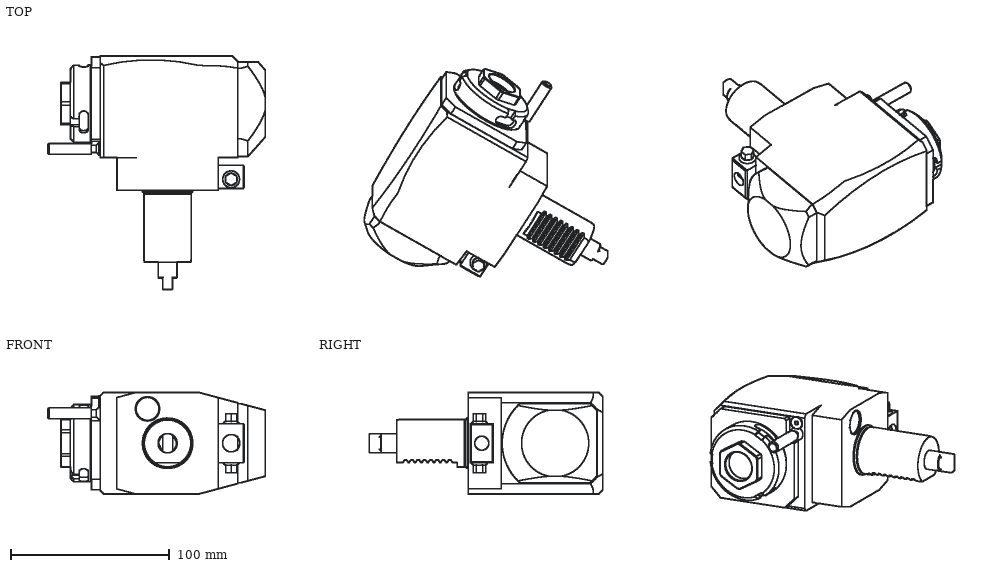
import cadquery as cq
import math


TOTAL_LENGTH = 147
HEIGHT = 64.0
HALF_HEIGHT = HEIGHT / 2
BACK_Y = 84.7
STEP_Y = 20.7
LEFT_X = -42.5
RIGHT_X = 44.2
LEFT_CHAMFER = 2.2
BACK_CHAMFER = 3.5
TAPER_X = 19.8
TAPER_ANGLE = 15
TAPER_SLOPE = math.tan(math.radians(TAPER_ANGLE))
BLOCK_HALF_LENGTH = 31.9
ROUNDING_RADIUS = 183.8
ROUNDING_X = -10.3
ROUNDING_DEPTH = 2.5
PLUG_X, PLUG_Z = -12.6, 21.6
PLUG_RADIUS = 7.6
PLUG_DEPTH = 1.2
PLUG_CHAMFER = 0.5

SHANK_RADIUS = 15.0
SHANK_LENGTH = 45.1
SHANK_CHAMFER_LENGTH = 1.9
SHANK_CHAMFER_DEPTH = 0.37
COLLAR_RADIUS = 15.9
COLLAR_RIM = 0.7
RELIEF_RADIUS = 14.8
RELIEF_START = COLLAR_RIM + COLLAR_RADIUS - RELIEF_RADIUS
RELIEF_END = 2.5
FLAT_START = 7.0
FLAT_Z = -12.2
TOOTH_COUNT = 8
TOOTH_PITCH = 4.0
FIRST_TOOTH = 11.6
TOOTH_DEPTH = 1.6
TOOTH_WIDTH = 3.5
TOOTH_FLOOR = 1.2

DRIVE_RADIUS = 6.0
DRIVE_END = 55.1
DRIVE_CHAMFER = 0.5
TANG_END = TOTAL_LENGTH - BACK_Y
TANG_WIDTH = 6.3
TANG_FILLET = 0.7

SPINDLE_Y = 54.7
PLATE_X = -47.9
PLATE_HALF = 29.4
PLATE_CHAMFER = 6.8
NOTCH_Y = 31.0
NOTCH_Z = 14.1
NOTCH_FILLET = 4.4
NOTCH_CHAMFER = 1.2
NUT_X = -61.2
NUT_BACK_X = -48.7
NUT_RADIUS = 24.4
NUT_CHAMFER = 2.2
NUT_NECK_RADIUS = 23.5
SLOT_COUNT = 3
FIRST_SLOT_ANGLE = 30
SLOT_WIDTH = 5.7
SLOT_DEPTH = 2.6
SLOT_X = -52.8
SLOT_HALF_ANGLE = 19
HEX_X = -67.3
HEX_FLATS = 26.9
HEX_TURNED_RADIUS = 15.0
HEX_CHAMFER = 0.5
BORE_RADIUS = 9.3
BORE_DEPTH = 5.0
BORE_CHAMFER = 0.5

PIN_Y, PIN_Z = 26.2, 18.8
PIN_X = -75.4
PIN_RADIUS = 3.5
PIN_CHAMFER = 0.9
PIN_NECK_RADIUS = 2.4
PIN_CONE_X = -44.8
PIN_CONE_RADIUS = 4.3
SCREW_Z = 26.0
SCREW_RADIUS = 4.0
SCREW_HEIGHT = 0.9
SCREW_HOLE_RADIUS = 1.2

CAP_RADIUS = 33.4
CAP_BACK_Y = 80.8
CAP_X = 61.5
CAP_TAPER_X = 46.0
CAP_CONE_X = 50.5
CAP_END_RADIUS = 21.2

COOLANT_X = 48.2
COOLANT_Y0, COOLANT_Y1 = 1.2, 15.9
COOLANT_HALF_HEIGHT = 12.3
COOLANT_CHAMFER = 0.7
NOZZLE_X, NOZZLE_Y = 40.0, 7.0
INLET_RADIUS = 5.5
SIDE_BORE_Y = 8.5
SIDE_BORE_RADIUS = 4.4
FLANGE_RADIUS = 5.3
FLANGE_TOP_RADIUS = 3.8
FLANGE_HEIGHT = 1.5
NOZZLE_FLATS = 6.9
NOZZLE_TOP = 18.5

OVERLAP = 1.5


def box(x0, x1, y0, y1, z0, z1):
    return cq.Workplane("XY").box(x1 - x0, y1 - y0, z1 - z0, centered=False).translate((x0, y0, z0))


def turned_on_x(points, y, z):
    """Solid of revolution about a line along X; points are (x, radius)."""
    closed = [(points[0][0], 0)] + points + [(points[-1][0], 0)]
    profile = cq.Workplane("XY").polyline(closed).close()
    return profile.revolve(360, (0, 0, 0), (1, 0, 0)).translate((0, y, z))


def turned_on_y(points):
    """Solid of revolution about the shank axis; points are (distance below the seat, radius)."""
    closed = [(0, -points[0][0])] + [(r, -d) for d, r in points] + [(0, -points[-1][0])]
    return cq.Workplane("XY").polyline(closed).close().revolve(360, (0, 0, 0), (0, 1, 0))


def taper_height(x):
    """Half height of the housing on its taper."""
    return HALF_HEIGHT - (x - TAPER_X) * TAPER_SLOPE


def mirrored_outline(upper):
    """Closed XZ outline from its upper points, mirrored about Z = 0."""
    return upper + [(x, -z) for x, z in reversed(upper)]


def along_y(outline, y0, y1):
    return cq.Workplane("XZ", origin=(0, y0, 0)).polyline(outline).close().extrude(y0 - y1)


def back_rounding(side):
    """Large disc, leaning at 45 degrees, that rounds the upper (+1) or lower (-1) back edge."""
    apex = (BACK_Y + HALF_HEIGHT - ROUNDING_DEPTH) / math.sqrt(2)
    plane = cq.Plane(origin=(0, 0, 0), xDir=(1, 0, 0), normal=(0, -side, 1))
    disc = cq.Workplane(plane).center(ROUNDING_X, apex - ROUNDING_RADIUS)
    return disc.circle(ROUNDING_RADIUS).extrude(2 * BACK_Y, both=True)


def housing():
    upper_outline = mirrored_outline([
        (LEFT_X, HALF_HEIGHT - LEFT_CHAMFER),
        (LEFT_X + LEFT_CHAMFER, HALF_HEIGHT),
        (TAPER_X, HALF_HEIGHT),
        (RIGHT_X, taper_height(RIGHT_X)),
    ])
    upper = along_y(upper_outline, STEP_Y, BACK_Y)
    upper = upper.edges("|Z and >X and >Y").chamfer(BACK_CHAMFER)
    for side in (1, -1):
        upper = upper.intersect(back_rounding(side))
    end_height = taper_height(BLOCK_HALF_LENGTH)
    block_outline = mirrored_outline([
        (-BLOCK_HALF_LENGTH, end_height),
        (-TAPER_X, HALF_HEIGHT),
        (TAPER_X, HALF_HEIGHT),
        (BLOCK_HALF_LENGTH, end_height),
    ])
    body = upper.union(along_y(block_outline, 0, STEP_Y + OVERLAP))
    recess = cq.Workplane("XZ").center(PLUG_X, PLUG_Z).circle(PLUG_RADIUS).extrude(-PLUG_DEPTH)
    recess = recess.faces(">Y").chamfer(PLUG_CHAMFER)
    return body.cut(recess)


def shank():
    body = turned_on_y([
        (-OVERLAP, COLLAR_RADIUS),
        (COLLAR_RIM, COLLAR_RADIUS),
        (RELIEF_START, RELIEF_RADIUS),
        (RELIEF_END, RELIEF_RADIUS),
        (RELIEF_END, SHANK_RADIUS),
        (SHANK_LENGTH - SHANK_CHAMFER_LENGTH, SHANK_RADIUS),
        (SHANK_LENGTH, SHANK_RADIUS - SHANK_CHAMFER_DEPTH),
    ])
    flat = box(-SHANK_RADIUS, SHANK_RADIUS, -SHANK_LENGTH, -FLAT_START, -SHANK_RADIUS, FLAT_Z)
    body = body.cut(flat)
    for i in range(TOOTH_COUNT):
        y = -(FIRST_TOOTH + i * TOOTH_PITCH)
        groove = cq.Workplane("YZ", origin=(-SHANK_RADIUS, 0, 0)).polyline([
            (y - TOOTH_WIDTH / 2, FLAT_Z),
            (y - TOOTH_FLOOR / 2, FLAT_Z + TOOTH_DEPTH),
            (y + TOOTH_FLOOR / 2, FLAT_Z + TOOTH_DEPTH),
            (y + TOOTH_WIDTH / 2, FLAT_Z),
        ]).close()
        body = body.cut(groove.extrude(2 * SHANK_RADIUS))
    return body


def drive_shaft():
    shaft = turned_on_y([
        (SHANK_LENGTH - OVERLAP, DRIVE_RADIUS),
        (DRIVE_END - DRIVE_CHAMFER, DRIVE_RADIUS),
        (DRIVE_END, DRIVE_RADIUS - DRIVE_CHAMFER),
    ])
    tang = turned_on_y([(SHANK_LENGTH, DRIVE_RADIUS), (TANG_END, DRIVE_RADIUS)])
    half_width = TANG_WIDTH / 2
    blade = box(-half_width, half_width, -TANG_END, -SHANK_LENGTH, -DRIVE_RADIUS, DRIVE_RADIUS)
    tang = tang.intersect(blade)
    tang = tang.faces("<X or >X or <Y").edges("not >Y").fillet(TANG_FILLET)
    body = shaft.union(tang)
    root = cq.selectors.BoxSelector(
        (-TANG_WIDTH, -DRIVE_END - TANG_FILLET / 2, -DRIVE_RADIUS),
        (TANG_WIDTH, -DRIVE_END + TANG_FILLET / 2, DRIVE_RADIUS),
    )
    return body.edges(root).edges("|Z").fillet(TANG_FILLET)


def plate():
    front_y = SPINDLE_Y - PLATE_HALF
    back_y = SPINDLE_Y + PLATE_HALF
    body = box(PLATE_X, LEFT_X + OVERLAP, front_y, back_y, -PLATE_HALF, PLATE_HALF)
    body = body.edges("|X").edges(">Y or <Z").chamfer(PLATE_CHAMFER)
    notch = box(PLATE_X, LEFT_X, front_y, NOTCH_Y, NOTCH_Z, PLATE_HALF)
    notch = notch.edges("|X and >Y and <Z").fillet(NOTCH_FILLET)
    body = body.cut(notch)
    corner = cq.Workplane("YZ", origin=(PLATE_X, 0, 0)).polyline([
        (NOTCH_Y, PLATE_HALF),
        (NOTCH_Y + NOTCH_CHAMFER, PLATE_HALF),
        (NOTCH_Y, PLATE_HALF - NOTCH_CHAMFER),
    ]).close()
    return body.cut(corner.extrude(LEFT_X - PLATE_X))


def nut():
    body = turned_on_x([
        (NUT_X, NUT_RADIUS - NUT_CHAMFER),
        (NUT_X + NUT_CHAMFER, NUT_RADIUS),
        (NUT_BACK_X, NUT_RADIUS),
        (NUT_BACK_X, NUT_NECK_RADIUS),
        (PLATE_X + OVERLAP, NUT_NECK_RADIUS),
    ], SPINDLE_Y, 0)
    for i in range(SLOT_COUNT):
        angle = FIRST_SLOT_ANGLE + i * 360 / SLOT_COUNT
        cutter = spanner_slot().rotate((0, 0, 0), (1, 0, 0), angle)
        body = body.cut(cutter.translate((0, SPINDLE_Y, 0)))
    return body


def spanner_slot():
    """T-shaped spanner slot on the +Z side of the nut, around the X axis."""
    floor_radius = NUT_RADIUS - SLOT_DEPTH
    half = SLOT_WIDTH / 2
    half_length = NUT_RADIUS * math.sin(math.radians(SLOT_HALF_ANGLE))
    entry = box(NUT_X, SLOT_X, -half, half, floor_radius, NUT_RADIUS + OVERLAP)
    window = cq.Workplane("XY").center(SLOT_X, 0).slot2D(2 * half_length, SLOT_WIDTH, 90)
    ring = cq.Workplane("YZ", origin=(SLOT_X - half, 0, 0))
    ring = ring.circle(NUT_RADIUS + OVERLAP).circle(floor_radius).extrude(SLOT_WIDTH)
    return entry.union(ring.intersect(window.extrude(NUT_RADIUS + OVERLAP)))


def hexagon():
    length = NUT_X + OVERLAP - HEX_X
    across_corners = HEX_FLATS / math.cos(math.pi / 6)
    prism = cq.Workplane("YZ", origin=(HEX_X, SPINDLE_Y, 0)).polygon(6, across_corners).extrude(length)
    prism = prism.rotate((0, SPINDLE_Y, 0), (1, SPINDLE_Y, 0), 90)
    turned = turned_on_x([
        (HEX_X, HEX_TURNED_RADIUS),
        (HEX_X + length, HEX_TURNED_RADIUS),
    ], SPINDLE_Y, 0)
    body = prism.intersect(turned).faces("<X").chamfer(HEX_CHAMFER)
    bore = turned_on_x([
        (HEX_X, BORE_RADIUS + BORE_CHAMFER),
        (HEX_X + BORE_CHAMFER, BORE_RADIUS),
        (HEX_X + BORE_DEPTH, BORE_RADIUS),
    ], SPINDLE_Y, 0)
    return body.cut(bore)


def locating_pin():
    return turned_on_x([
        (PIN_X, PIN_RADIUS - PIN_CHAMFER),
        (PIN_X + PIN_CHAMFER, PIN_RADIUS),
        (PLATE_X, PIN_RADIUS),
        (PLATE_X, PIN_NECK_RADIUS),
        (PIN_CONE_X, PIN_NECK_RADIUS),
        (LEFT_X, PIN_CONE_RADIUS),
        (LEFT_X + OVERLAP, PIN_CONE_RADIUS),
    ], PIN_Y, PIN_Z)


def set_screw():
    disc = cq.Workplane("YZ", origin=(LEFT_X - SCREW_HEIGHT, PIN_Y, SCREW_Z)).circle(SCREW_RADIUS)
    disc = disc.extrude(SCREW_HEIGHT + OVERLAP)
    return disc.faces("<X").workplane().circle(SCREW_HOLE_RADIUS).cutBlind(-SCREW_HEIGHT)


def rear_cap():
    turned = turned_on_x([
        (RIGHT_X - OVERLAP, CAP_RADIUS),
        (CAP_CONE_X, CAP_RADIUS),
        (CAP_X, CAP_END_RADIUS),
    ], SPINDLE_Y, 0)
    envelope = mirrored_outline([
        (RIGHT_X - OVERLAP, taper_height(CAP_TAPER_X)),
        (CAP_TAPER_X, taper_height(CAP_TAPER_X)),
        (CAP_X, taper_height(CAP_X)),
    ])
    return turned.intersect(along_y(envelope, 0, CAP_BACK_Y))


def nozzle():
    """Hexagon nozzle on a conical flange, on the upper side of the coolant block."""
    base = cq.Workplane("XY", origin=(NOZZLE_X, NOZZLE_Y, COOLANT_HALF_HEIGHT))
    slope = math.degrees(math.atan2(FLANGE_RADIUS - FLANGE_TOP_RADIUS, FLANGE_HEIGHT))
    flange = base.circle(FLANGE_RADIUS).extrude(FLANGE_HEIGHT, taper=slope)
    across_corners = NOZZLE_FLATS / math.cos(math.pi / 6)
    head = base.transformed(rotate=(0, 0, 90)).polygon(6, across_corners)
    return flange.union(head.extrude(NOZZLE_TOP - COOLANT_HALF_HEIGHT))


def coolant_block():
    block = box(
        BLOCK_HALF_LENGTH - OVERLAP, COOLANT_X,
        COOLANT_Y0, COOLANT_Y1,
        -COOLANT_HALF_HEIGHT, COOLANT_HALF_HEIGHT,
    ).faces(">X").chamfer(COOLANT_CHAMFER)
    inlet = cq.Workplane("XZ").center(NOZZLE_X, 0).circle(INLET_RADIUS).extrude(-COOLANT_Y1)
    side_bore = cq.Workplane("YZ", origin=(NOZZLE_X, SIDE_BORE_Y, 0)).circle(SIDE_BORE_RADIUS)
    side_bore = side_bore.extrude(COOLANT_X - NOZZLE_X)
    block = block.cut(inlet).cut(side_bore)
    upper_nozzle = nozzle()
    return block.union(upper_nozzle).union(upper_nozzle.mirror("XY"))


result = housing()
for feature in (shank(), drive_shaft(), plate(), nut(), hexagon(),
                locating_pin(), set_screw(), rear_cap(), coolant_block()):
    result = result.union(feature)